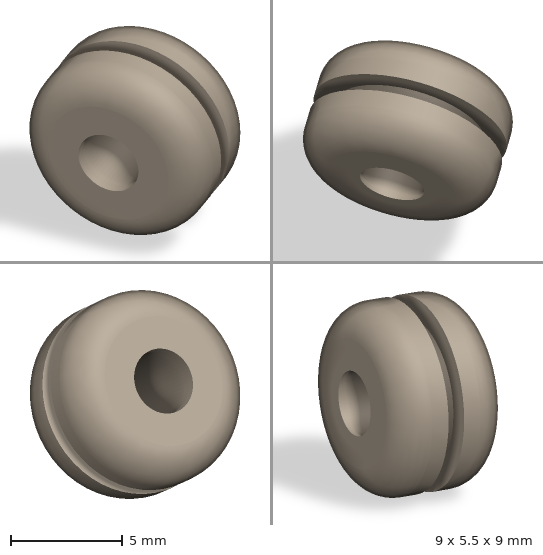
import cadquery as cq

outer_diameter = 9.0
width = 5.5
bore_diameter = 3.0
groove_diameter = 7.0
groove_width = 0.8
rim_radius = 1.5


def cylinder(diameter, length):
    """Cylinder along Y, centred on the origin."""
    return cq.Workplane("XZ", origin=(0, length / 2, 0)).circle(diameter / 2).extrude(length)


body = cylinder(outer_diameter, width).faces("<Y or >Y").edges().fillet(rim_radius)

groove = cylinder(outer_diameter, groove_width).cut(cylinder(groove_diameter, groove_width))

bore = cylinder(bore_diameter, width)

result = body.cut(groove).cut(bore)